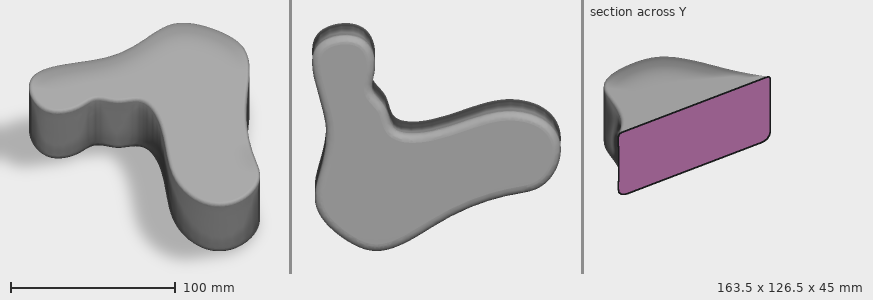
import cadquery as cq

height = 45.0
top_fillet = 2.0
bottom_fillet = 5.0

right_lobe = [
    (4.9, -21.6),
    (17.5, -36.0),
    (39.0, -57.4),
    (66.2, -62.1),
    (76.2, -54.9),
    (78.6, -26.2),
    (68.9, -15.6),
]
upper_lobe = [
    (38.9, 23.8),
    (12.6, 60.6),
    (-5.6, 63.1),
    (-32.0, 53.2),
    (-39.3, 35.9),
]
left_lobe = [
    (-51.8, 9.3),
    (-81.3, -32.2),
    (-60.2, -47.6),
    (-43.9, -34.3),
    (-39.3, -24.3),
]
inner_notch = [
    (-27.2, -19.4),
    (-16.0, -11.3),
]


def make_body():
    """Extrude the closed free-form outline to the full height."""
    outline_points = right_lobe + upper_lobe + left_lobe + inner_notch
    outline = cq.Workplane("XY").spline(outline_points, periodic=True).wire()
    return outline.extrude(height)


def round_rims(body):
    """Round the top rim lightly and the bottom rim more generously."""
    body = body.faces(">Z").edges().fillet(top_fillet)
    return body.faces("<Z").edges().fillet(bottom_fillet)


result = round_rims(make_body())